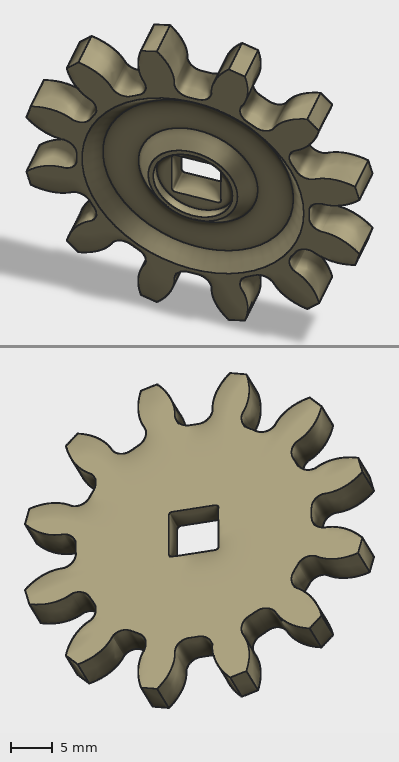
import cadquery as cq
import math

outer_size = 42.2
thickness = 4.75
tooth_count = 12
tooth_pitch = 360 / tooth_count

tip_half_width = 1.05
shoulder_distance, shoulder_half_width = 20.0, 1.8
widest_distance, widest_half_width = 18.55, 2.15

root_distance = 14.75
root_flat_half_width = 0.6
root_round = 1.77
flank_lean = 9.0

recess_rim_radius = 14.05
recess_floor_radius = 12.07
recess_depth = 1.9
hub_top_radius = 5.65
hub_base_radius = hub_top_radius + recess_depth
bore_diameter = 10.05
bore_depth = 1.25
square_side = 6.2
square_corner_round = 0.42

front = -thickness / 2
floor = front + recess_depth

half_pitch = math.radians(tooth_pitch / 2)
tip_distance = (outer_size / 2 - tip_half_width * math.sin(half_pitch)) / math.cos(half_pitch)


def rotated(point, degrees):
    """Turn a point anticlockwise about the gear axis."""
    angle = math.radians(degrees)
    x, z = point
    return (
        x * math.cos(angle) - z * math.sin(angle),
        x * math.sin(angle) + z * math.cos(angle),
    )


def round_point(degrees):
    """Point on the right-hand root round, measured from the end of the flat."""
    angle = math.radians(degrees)
    return (
        root_flat_half_width + root_round * math.sin(angle),
        root_distance + root_round * (1 - math.cos(angle)),
    )


def mirrored(point):
    return (-point[0], point[1])


def gear_blank():
    round_sweep = 90 - flank_lean
    round_middle = round_point(round_sweep / 2)
    round_end = round_point(round_sweep)
    flat_end = round_point(0)

    tip, shoulder, widest = [
        rotated((-half_width, distance), -tooth_pitch / 2)
        for half_width, distance in (
            (tip_half_width, tip_distance),
            (shoulder_half_width, shoulder_distance),
            (widest_half_width, widest_distance),
        )
    ]

    outline = cq.Workplane("XZ", origin=(0, thickness / 2, 0)).moveTo(*mirrored(tip))
    for index in range(tooth_count):
        turn = -index * tooth_pitch
        outline = (
            outline.spline(
                [rotated(mirrored(point), turn) for point in (shoulder, widest, round_end)],
                includeCurrent=True,
            )
            .threePointArc(rotated(mirrored(round_middle), turn), rotated(mirrored(flat_end), turn))
            .lineTo(*rotated(flat_end, turn))
            .threePointArc(rotated(round_middle, turn), rotated(round_end, turn))
            .spline(
                [rotated(point, turn) for point in (widest, shoulder, tip)],
                includeCurrent=True,
            )
        )
        if index < tooth_count - 1:
            outline = outline.lineTo(*rotated(mirrored(tip), turn - tooth_pitch))
    return outline.close().extrude(thickness)


def recess():
    """Ring-shaped recess with a sloped outer wall and a conical hub side."""
    return (
        cq.Workplane("XY")
        .moveTo(hub_top_radius, front)
        .lineTo(recess_rim_radius, front)
        .lineTo(recess_floor_radius, floor)
        .lineTo(hub_base_radius, floor)
        .close()
        .revolve(360, (0, 0), (0, 1))
    )


def bore():
    return (
        cq.Workplane("XZ", origin=(0, front + bore_depth, 0))
        .circle(bore_diameter / 2)
        .extrude(bore_depth)
    )


def square_hole():
    return (
        cq.Workplane("XZ", origin=(0, thickness / 2, 0))
        .rect(square_side, square_side)
        .extrude(thickness)
        .edges("|Y")
        .fillet(square_corner_round)
    )


result = gear_blank().cut(recess()).cut(bore()).cut(square_hole())